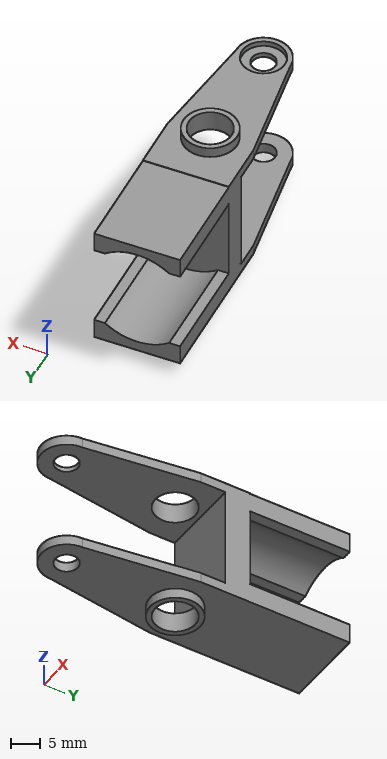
import cadquery as cq

length = 56.75
width = 16.0

plate_gap = 20.0
plate_thickness = 2.0
plate_outer = plate_gap / 2 + plate_thickness
tip_radius = 5.0

arm_length = 20.0
arm_gap = 16.0
web_thickness = 5.0
top_arm_step = 0.1
groove_radius = 10.0
web_rear = length - arm_length
web_front = web_rear - web_thickness

boss_diameter = 10.0
boss_height = 2.015
boss_bore = 8.0
boss_y = web_front - boss_diameter / 2

tip_hole = 4.5
counterbore_diameter = 8.0
counterbore_depth = 1.0


def box_between(y_start, y_end, z_bottom, z_top):
    """Full-width block spanning the given Y and Z ranges."""
    return (
        cq.Workplane("XY", origin=(0, (y_start + y_end) / 2, z_bottom))
        .rect(width, y_end - y_start)
        .extrude(z_top - z_bottom)
    )


def cylinder(diameter, y, z_bottom, z_top):
    """Vertical cylinder on the part's centre plane."""
    return (
        cq.Workplane("XY", origin=(0, y, z_bottom))
        .circle(diameter / 2)
        .extrude(z_top - z_bottom)
    )


def tapered_body():
    """Full-height plan outline, tapering from the boss axis to the round tip."""
    return (
        cq.Workplane("XY", origin=(0, 0, -plate_outer))
        .moveTo(-width / 2, length)
        .lineTo(-width / 2, boss_y)
        .lineTo(-tip_radius, tip_radius)
        .threePointArc((0, 0), (tip_radius, tip_radius))
        .lineTo(width / 2, boss_y)
        .lineTo(width / 2, length)
        .close()
        .extrude(2 * plate_outer)
    )


body = tapered_body()
body = body.cut(box_between(0, web_front, -plate_gap / 2, plate_gap / 2))
body = body.cut(box_between(web_rear, length, -arm_gap / 2, arm_gap / 2))

body = body.cut(box_between(web_rear, length, plate_outer - top_arm_step, plate_outer))

groove = cq.Workplane("XZ", origin=(0, length, 0)).circle(groove_radius).extrude(arm_length)
body = body.cut(groove)

boss_outer = plate_outer + boss_height
body = body.union(cylinder(boss_diameter, boss_y, plate_outer, boss_outer))
body = body.union(cylinder(boss_diameter, boss_y, -boss_outer, -plate_outer))

body = body.cut(cylinder(boss_bore, boss_y, -boss_outer, boss_outer))
body = body.cut(cylinder(tip_hole, tip_radius, -plate_outer, plate_outer))
counterbore_floor = plate_outer - counterbore_depth
body = body.cut(cylinder(counterbore_diameter, tip_radius, counterbore_floor, plate_outer))

result = body